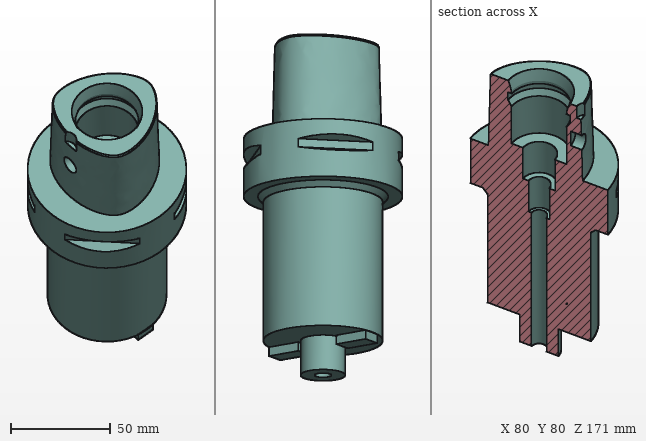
import cadquery as cq
import math

TOTAL_LENGTH = 171.0

SHANK_HEIGHT = 48.0
SHANK_BASE_RADIUS = 27.5
SHANK_TAPER = 0.025
LOBE_HEIGHT = 2.0
OUTLINE_POINTS = 24
TOP_CHAMFER_HEIGHT = 1.0
TOP_CHAMFER_WIDTH = 0.5

FLANGE_RADIUS = 40.0
FLANGE_HEIGHT = 30.0
BODY_RADIUS = 30.1
CONE_TOP_RADIUS = 32.8
CONE_HEIGHT = 2.9
SPIGOT_RADIUS = 11.3
SPIGOT_LENGTH = 18.0
BODY_BOTTOM = SHANK_HEIGHT + SPIGOT_LENGTH - TOTAL_LENGTH
SPIGOT_BOTTOM = SHANK_HEIGHT - TOTAL_LENGTH

MOUTH_RADIUS = 17.8
BORE_RADIUS = 15.9
MOUTH_DEPTH = 6.3
GROOVE_RADIUS = 18.0
GROOVE_SHOULDER_DEPTH = 8.2
GROOVE_WALL_END = 13.0
GROOVE_DEPTH = 16.5
BORE_DEPTH = 41.0
SECOND_BORE_RADIUS = 9.2
SECOND_BORE_DEPTH = 61.5
THIRD_BORE_RADIUS = 6.0
THIRD_BORE_DEPTH = 82.0
THROUGH_RADIUS = 4.3

NOTCH_RADIUS = 5.1
NOTCH_BACK_Y = -22.0
NOTCH_HEIGHT = 7.9
SIDE_HOLE_RADIUS = 4.6
SIDE_HOLE_Z = 25.0
SIDE_HOLE_FLOOR_Y = -18.5

SLOT_FLOOR_DISTANCE = 35.2
SLOT_FLOOR_WIDTH = 4.3
SLOT_MOUTH_WIDTH = 8.4
SLOT_Z = -12.0

KEY_INNER_X = 11.6
KEY_OUTER_X = 29.5
KEY_WIDTH = 10.1
KEY_HEIGHT = 4.6


def lobed_point(mean_radius, angle):
    """Point whose tangent lies mean_radius + LOBE_HEIGHT * cos(3 * angle) from the axis."""
    tangent_distance = mean_radius + LOBE_HEIGHT * math.cos(3 * angle)
    slope = -3 * LOBE_HEIGHT * math.sin(3 * angle)
    along_lobe = tangent_distance * math.cos(angle) - slope * math.sin(angle)
    across_lobe = tangent_distance * math.sin(angle) + slope * math.cos(angle)
    return (-across_lobe, along_lobe)


def lobed_frustum(z_low, radius_low, z_high, radius_high):
    def outline(radius):
        angles = [2 * math.pi * i / OUTLINE_POINTS for i in range(OUTLINE_POINTS)]
        return [lobed_point(radius, angle) for angle in angles]

    return (
        cq.Workplane("XY", origin=(0, 0, z_low))
        .spline(outline(radius_low), periodic=True).close()
        .workplane(offset=z_high - z_low)
        .spline(outline(radius_high), periodic=True).close()
        .loft(ruled=True)
    )


def shank():
    chamfer_z = SHANK_HEIGHT - TOP_CHAMFER_HEIGHT
    chamfer_radius = SHANK_BASE_RADIUS - SHANK_TAPER * chamfer_z
    taper = lobed_frustum(0, SHANK_BASE_RADIUS, chamfer_z, chamfer_radius)
    tip = lobed_frustum(chamfer_z, chamfer_radius, SHANK_HEIGHT, chamfer_radius - TOP_CHAMFER_WIDTH)
    return taper.union(tip)


def revolved(profile):
    """Turn a profile of (radius, z) points about the Z axis."""
    return cq.Workplane("XZ").polyline(profile).close().revolve(360, (0, 0), (0, 1))


def turned_body():
    return revolved([
        (0, 0),
        (FLANGE_RADIUS, 0),
        (FLANGE_RADIUS, -FLANGE_HEIGHT),
        (CONE_TOP_RADIUS, -FLANGE_HEIGHT),
        (BODY_RADIUS, -FLANGE_HEIGHT - CONE_HEIGHT),
        (BODY_RADIUS, BODY_BOTTOM),
        (SPIGOT_RADIUS, BODY_BOTTOM),
        (SPIGOT_RADIUS, SPIGOT_BOTTOM),
        (0, SPIGOT_BOTTOM),
    ])


def bore():
    radius_and_depth = [
        (0, 0),
        (MOUTH_RADIUS, 0),
        (BORE_RADIUS, MOUTH_DEPTH),
        (BORE_RADIUS, GROOVE_SHOULDER_DEPTH),
        (GROOVE_RADIUS, GROOVE_SHOULDER_DEPTH),
        (GROOVE_RADIUS, GROOVE_WALL_END),
        (BORE_RADIUS, GROOVE_DEPTH),
        (BORE_RADIUS, BORE_DEPTH),
        (SECOND_BORE_RADIUS, BORE_DEPTH),
        (SECOND_BORE_RADIUS, SECOND_BORE_DEPTH),
        (THIRD_BORE_RADIUS, SECOND_BORE_DEPTH),
        (THIRD_BORE_RADIUS, THIRD_BORE_DEPTH),
        (THROUGH_RADIUS, THIRD_BORE_DEPTH),
        (THROUGH_RADIUS, TOTAL_LENGTH),
        (0, TOTAL_LENGTH),
    ]
    return revolved([(radius, SHANK_HEIGHT - depth) for radius, depth in radius_and_depth])


def notch():
    return (
        cq.Workplane("XY", origin=(0, NOTCH_BACK_Y - NOTCH_RADIUS, SHANK_HEIGHT - NOTCH_HEIGHT))
        .circle(NOTCH_RADIUS)
        .extrude(NOTCH_HEIGHT)
    )


def side_hole():
    return (
        cq.Workplane("XZ", origin=(0, SIDE_HOLE_FLOOR_Y, SIDE_HOLE_Z))
        .circle(SIDE_HOLE_RADIUS)
        .extrude(FLANGE_RADIUS + SIDE_HOLE_FLOOR_Y)
    )


def gripper_slot(angle):
    """Straight slot with a flat floor and flared sides, facing the given angle about Z."""
    floor_half = SLOT_FLOOR_WIDTH / 2
    mouth_half = SLOT_MOUTH_WIDTH / 2
    return (
        cq.Workplane("XZ")
        .polyline([
            (SLOT_FLOOR_DISTANCE, SLOT_Z - floor_half),
            (FLANGE_RADIUS, SLOT_Z - mouth_half),
            (FLANGE_RADIUS, SLOT_Z + mouth_half),
            (SLOT_FLOOR_DISTANCE, SLOT_Z + floor_half),
        ])
        .close()
        .extrude(FLANGE_RADIUS, both=True)
        .rotate((0, 0, 0), (0, 0, 1), angle)
    )


def drive_key(side):
    return (
        cq.Workplane("XY", origin=(side * (KEY_INNER_X + KEY_OUTER_X) / 2, 0, BODY_BOTTOM))
        .box(KEY_OUTER_X - KEY_INNER_X, KEY_WIDTH, 2 * KEY_HEIGHT)
    )


result = turned_body().union(shank())
for side in (-1, 1):
    result = result.union(drive_key(side))
result = result.cut(bore()).cut(notch()).cut(side_hole())
for angle in (45, 135, 225, 315):
    result = result.cut(gripper_slot(angle))